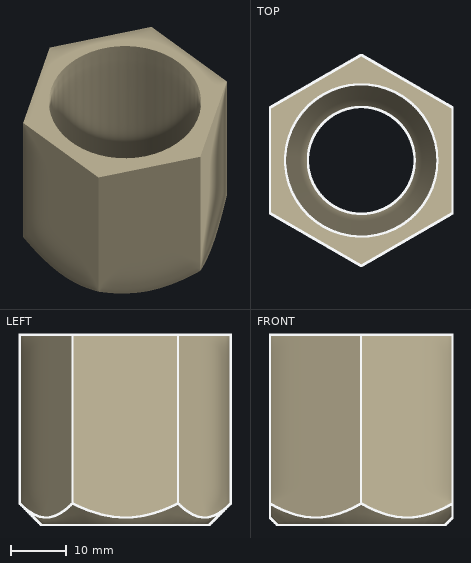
import cadquery as cq
import math

across_corners = 37.87
height = 34.15

bottom_face_diameter = 30.05
trim_angle = 45.0

bore_diameter = 27.3
opening_diameter = 19.12
seat_angle = 45.0

corner_radius = across_corners / 2
bottom_radius = bottom_face_diameter / 2
bore_radius = bore_diameter / 2
opening_radius = opening_diameter / 2
trim_height = (corner_radius - bottom_radius) * math.tan(math.radians(trim_angle))
seat_height = (bore_radius - opening_radius) / math.tan(math.radians(seat_angle))


def revolve_profile(points):
    """Revolve a closed (radius, height) outline about the Z axis."""
    return cq.Workplane("XZ").polyline(points).close().revolve(360, (0, 0), (0, 1))


def hexagonal_body():
    prism = cq.Workplane("XY").polygon(6, across_corners).extrude(height)
    return prism.rotate((0, 0, 0), (0, 0, 1), 90)


def trimming_envelope():
    """Cylinder around the corners with a cone at its bottom."""
    return revolve_profile([
        (0, 0),
        (bottom_radius, 0),
        (corner_radius, trim_height),
        (corner_radius, height),
        (0, height),
    ])


def bore():
    return revolve_profile([
        (0, 0),
        (opening_radius, 0),
        (bore_radius, seat_height),
        (bore_radius, height),
        (0, height),
    ])


result = hexagonal_body().intersect(trimming_envelope()).cut(bore())